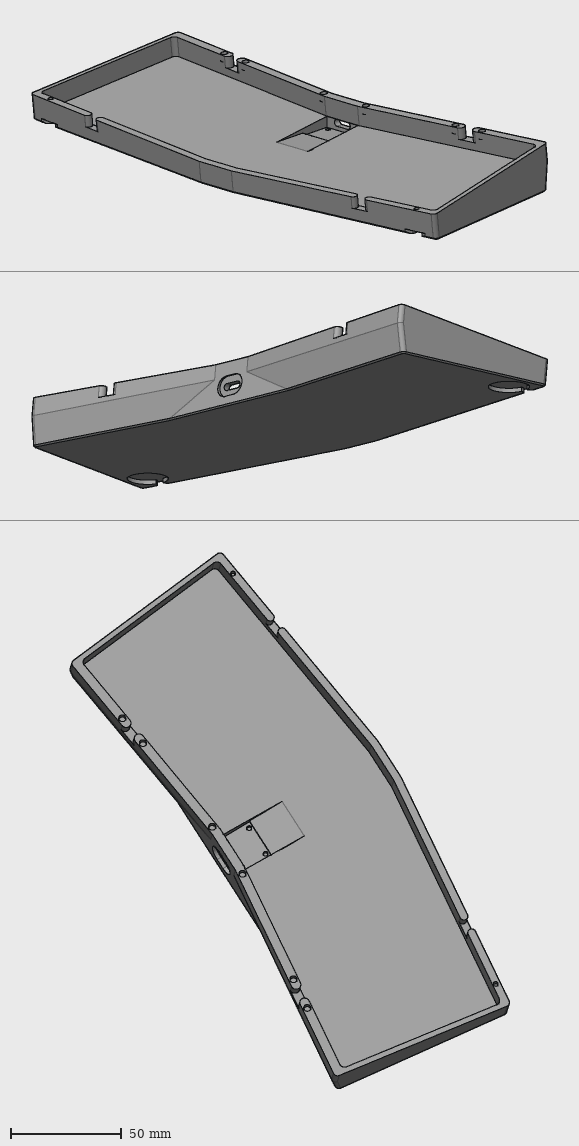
import cadquery as cq
import math


half_bend = 7.0
tilt = 6.8
rear_height = 23.0
middle_width = 19.8
left_length = 118.0
right_length = 113.3
wing_width = 88.0
ridge_height = 14.0
outer_corner_radius = 2.0
bottom_chamfer = 0.7

tray_depth = 9.6
front_wall = 3.7
rear_wall = 4.5
end_wall = 2.5
inner_corner_radius = 2.2

notch_from_end = 42.3
notch_width = 5.0
notch_depth = 5.7

rear_hole_diameter = 3.2
rear_hole_inset = 2.2
rear_hole_spacing = 14.8
rear_hole_from_middle = 13.5
front_hole_diameter = 2.2
front_hole_inset = 2.2
front_hole_from_end = 11.5
hole_depth = 3.7

pocket_width = 19.0
pocket_front = 51.2
pocket_step = 68.5
pocket_rear = 84.5
step_height = 1.2
pocket_height = 6.2
screw_diameter = 2.2
screw_spacing_u = 14.0
screw_spacing_v = 12.4
screw_rear_gap = 2.0
screw_depth = 2.5

port_height_above_ground = 9.6
port_width = 9.6
port_height = 3.2
port_recess_width = 14.8
port_recess_height = 10.0
port_recess_start = 88.0

foot_diameter = 18.5
foot_depth = 2.0
foot_from_end = 11.9
foot_from_front = 13.8
foot_mouth_width = 3.7
foot_mouth_radius = 3.7

clearance = 5.0
reach = 37.0
half_space_size = 371.0

LEFT, RIGHT = -1, 1
SIDES = (LEFT, RIGHT)
wing_length = {LEFT: left_length, RIGHT: right_length}
bend = math.radians(half_bend)
slope = math.radians(tilt)
middle_depth = wing_width / math.cos(bend)
highest_v = left_length * math.sin(bend) + wing_width * math.cos(bend)
front_height = rear_height - highest_v * math.sin(slope)
pocket_level = front_height + pocket_front * math.tan(slope) - tray_depth / math.cos(slope)
board_level = pocket_level - step_height
front_shift = front_height * math.tan(slope)

u_axis = cq.Vector(math.cos(bend), math.sin(bend), 0)
ground_plane = cq.Plane((0, 0, 0), u_axis, (0, 0, 1))
top_normal = ground_plane.yDir * -math.sin(slope) + ground_plane.zDir * math.cos(slope)
top_plane = cq.Plane((0, 0, front_height), u_axis, top_normal)


def wing_point(side, from_end, from_front):
    """Local point on a wing, measured from its end and its front edge."""
    along = wing_length[side] - from_end
    u = middle_width / 2 + along * math.cos(bend) - from_front * math.sin(bend)
    v = along * math.sin(bend) + from_front * math.cos(bend)
    return (side * u, v)


def wing_plane(plane, side, from_end, from_front):
    """Copy of a plane placed on a wing: x along the wing, y across it towards the rear."""
    origin = plane.toWorldCoords(wing_point(side, from_end, from_front))
    return cq.Plane(origin, plane.xDir, plane.zDir).rotated((0, 0, side * half_bend))


def outline(front_inset, rear_inset, end_inset):
    """Corner points of the case outline, moved inwards by the given wall thicknesses."""
    spread = math.tan(bend / 2)
    front_half = middle_width / 2 - front_inset * spread
    rear_half = middle_width / 2 + rear_inset * spread
    rear_v = middle_depth - rear_inset
    rear_line = wing_width - rear_inset
    return [
        (-front_half, front_inset),
        (front_half, front_inset),
        wing_point(RIGHT, end_inset, front_inset),
        wing_point(RIGHT, end_inset, rear_line),
        (rear_half, rear_v),
        (-rear_half, rear_v),
        wing_point(LEFT, end_inset, rear_line),
        wing_point(LEFT, end_inset, front_inset),
    ]


def prism(points, top, bottom):
    """Prism between two levels along the normal of the top plane."""
    base = cq.Workplane(top_plane).workplane(offset=bottom)
    return base.polyline(points).close().extrude(top - bottom)


def round_edges(solid, points, radius):
    """Fillet together the edges of a solid that lie nearest to the given points."""
    edges = [solid.edges(cq.selectors.NearestToPointSelector(point)).val() for point in points]
    return solid.newObject(edges).fillet(radius)


def end_edge_point(side, from_front, height):
    """Point at the given height on the leaning edge below an end corner of the top plane."""
    corner = top_plane.toWorldCoords(wing_point(side, 0, from_front))
    return (corner - top_normal * ((corner.z - height) / top_normal.z)).toTuple()


def case_block():
    """Solid wedge; behind the wings the rear wall leans back inwards below the ridge."""
    wedge = prism(outline(0, 0, 0), 0, -reach)
    above_ground = cq.Workplane().box(
        half_space_size, half_space_size, half_space_size, centered=(True, True, False)
    )
    above_ridge = above_ground.translate((0, 0, ridge_height))
    leaning_in = prism(outline(0, 0, -clearance), reach, -reach).mirror("XY", (0, 0, ridge_height))
    middle = cq.Workplane(top_plane).rect(2 * wing_width, 2 * middle_depth).extrude(reach, both=True)
    kept = above_ridge.union(leaning_in).union(middle)
    block = wedge.intersect(above_ground).intersect(kept)

    below_ridge = ridge_height / 2
    over_ridge = (ridge_height + rear_height) / 2
    corners = []
    for side in SIDES:
        corners.append(end_edge_point(side, 0, below_ridge))
        corners.append(end_edge_point(side, wing_width, below_ridge))
        corners.append(end_edge_point(side, wing_width, over_ridge))
    block = round_edges(block, corners, outer_corner_radius)
    return block.faces("<Z").edges().chamfer(bottom_chamfer)


def tray():
    """Cavity parallel to the top plane, with rounded end corners."""
    points = outline(front_wall, rear_wall, end_wall)
    end_points = points[2:4] + points[6:8]
    corners = [top_plane.toWorldCoords((u, v, -tray_depth / 2)).toTuple() for u, v in end_points]
    return round_edges(prism(points, 0, -tray_depth), corners, inner_corner_radius)


def notch(side, from_front, wall):
    """Gap through a wall whose two cheeks are fully rounded across the wall thickness."""
    narrow = notch_width / 2
    wide = (notch_width + wall) / 2
    return (
        cq.Workplane(wing_plane(top_plane, side, notch_from_end, from_front))
        .moveTo(-wide, 0)
        .threePointArc((-narrow, wall / 2), (-wide, wall))
        .lineTo(wide, wall)
        .threePointArc((narrow, wall / 2), (wide, 0))
        .close()
        .extrude(-notch_depth)
    )


def wall_hole(side, from_end, from_front, diameter):
    """Vertical blind hole in the top of a wall."""
    center = top_plane.toWorldCoords(wing_point(side, from_end, from_front))
    bottom = center - cq.Vector(0, 0, hole_depth)
    return cq.Workplane(origin=bottom).circle(diameter / 2).extrude(hole_depth + clearance)


def wall_holes(side):
    rear_line = wing_width - rear_hole_inset
    rear_places = (
        notch_from_end - rear_hole_spacing / 2,
        notch_from_end + rear_hole_spacing / 2,
        wing_length[side] - rear_hole_from_middle,
    )
    holes = wall_hole(side, front_hole_from_end, front_hole_inset, front_hole_diameter)
    for from_end in rear_places:
        holes = holes.union(wall_hole(side, from_end, rear_line, rear_hole_diameter))
    return holes


def level_box(v_front, v_rear, bottom, top):
    """Level block of the pocket's width between two places front to rear."""
    base = cq.Workplane(ground_plane).workplane(offset=bottom)
    return base.center(0, (v_front + v_rear) / 2).rect(pocket_width, v_rear - v_front).extrude(top - bottom)


def board_pocket():
    """Level pocket that starts flush with the tray floor and steps down under the board."""
    front = level_box(pocket_front, pocket_step, pocket_level, rear_height)
    rear = level_box(pocket_step, pocket_rear, board_level, board_level + pocket_height)
    screw_holes = (
        cq.Workplane(ground_plane)
        .workplane(offset=board_level - screw_depth)
        .center(0, pocket_rear - screw_rear_gap - screw_spacing_v / 2)
        .rect(screw_spacing_u, screw_spacing_v, forConstruction=True)
        .vertices()
        .circle(screw_diameter / 2)
        .extrude(screw_depth)
    )
    return front.union(rear).union(screw_holes)


def port_slot(width, height, v_front):
    """Round-ended slot that runs from a place inside the case out through its rear."""
    v_outside = middle_depth + clearance
    center = ground_plane.toWorldCoords((0, v_outside, port_height_above_ground))
    plane = cq.Plane(center, u_axis, ground_plane.yDir * -1)
    return cq.Workplane(plane).slot2D(width, height).extrude(v_outside - v_front)


def cable_port():
    """Slot for the cable with a larger recess for its plug on the outside."""
    opening = port_slot(port_width, port_height, pocket_step)
    recess = port_slot(port_recess_width, port_recess_height, port_recess_start)
    return opening.union(recess)


def foot_recess(side):
    """Round recess in the underside, open to the front through a short flared mouth."""
    plane = wing_plane(ground_plane, side, foot_from_end, 0)
    narrow = foot_mouth_width / 2
    wide = narrow + foot_mouth_radius
    flare_end = front_shift + foot_mouth_radius
    arc_rise = foot_mouth_radius * (1 - math.sqrt(0.5))
    mouth = (
        cq.Workplane(plane)
        .moveTo(-wide, 0)
        .lineTo(-wide, front_shift)
        .threePointArc((-narrow - arc_rise, front_shift + arc_rise), (-narrow, flare_end))
        .lineTo(-narrow, foot_from_front)
        .lineTo(narrow, foot_from_front)
        .lineTo(narrow, flare_end)
        .threePointArc((narrow + arc_rise, front_shift + arc_rise), (wide, front_shift))
        .lineTo(wide, 0)
        .close()
        .extrude(foot_depth)
    )
    disc = cq.Workplane(plane).center(0, foot_from_front).circle(foot_diameter / 2).extrude(foot_depth)
    return mouth.union(disc)


result = case_block().cut(tray())
for side in SIDES:
    result = result.cut(notch(side, 0, front_wall))
    result = result.cut(notch(side, wing_width - rear_wall, rear_wall))
    result = result.cut(wall_holes(side))
    result = result.cut(foot_recess(side))
result = result.cut(board_pocket()).cut(cable_port()).solids()